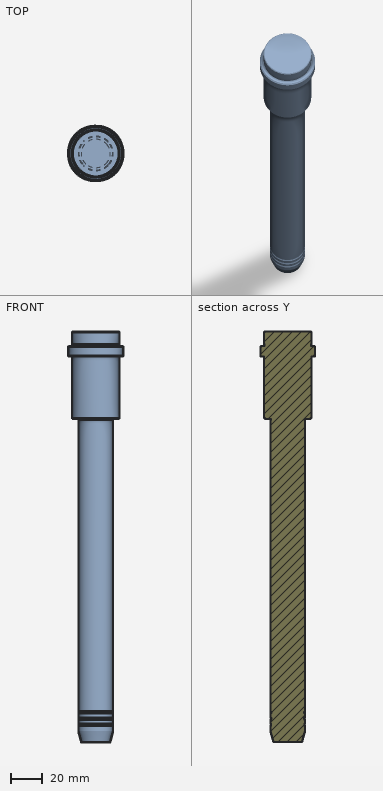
import cadquery as cq

length = 260.0
head_height = 9.0
flange_height = 6.8
sleeve_height = 39.5
flange_top = length - head_height
flange_bottom = flange_top - flange_height
sleeve_bottom = flange_bottom - sleeve_height

flange_radius = 35.0 / 2
sleeve_radius = 15.0
shaft_radius = 22.0 / 2
tip_radius = 9.0

edge_chamfer = 0.8
fine_chamfer = 0.5
neck_depth = 0.3
neck_height = 1.0
shaft_neck_height = 0.5

tip_height = 7.0
groove_count = 3
groove_pitch = 4.0
groove_height = 1.5
groove_depth = 0.5
lowest_groove = 11.2


def cylinder(radius, bottom, top):
    return cq.Workplane("XY").workplane(offset=bottom).circle(radius).extrude(top - bottom)


def ring_groove(radius, depth, bottom, height):
    """Ring that cuts a square groove into a cylinder of the given radius."""
    outer = cylinder(radius + depth, bottom, bottom + height)
    return outer.cut(cylinder(radius - depth, bottom, bottom + height))


def v_groove(radius, depth, middle, height):
    """Ring that cuts a V-shaped groove centred on the given height."""
    return (
        cq.Workplane("XZ")
        .polyline([
            (radius, middle - height / 2),
            (radius - depth, middle),
            (radius, middle + height / 2),
        ])
        .close()
        .revolve(360, (0, 0, 0), (0, 1, 0))
    )


shaft = (
    cq.Workplane("XZ")
    .polyline([
        (0, 0),
        (tip_radius, 0),
        (shaft_radius, tip_height),
        (shaft_radius, sleeve_bottom),
        (0, sleeve_bottom),
    ])
    .close()
    .revolve(360, (0, 0, 0), (0, 1, 0))
)

sleeve = (
    cylinder(sleeve_radius, sleeve_bottom, length)
    .faces("<Z")
    .chamfer(edge_chamfer)
    .faces(">Z")
    .chamfer(fine_chamfer)
)
flange = cylinder(flange_radius, flange_bottom, flange_top)
flange = flange.faces(">Z").chamfer(edge_chamfer)
flange = flange.faces("<Z").chamfer(fine_chamfer)
result = shaft.union(sleeve).union(flange)

result = result.cut(ring_groove(sleeve_radius, neck_depth, flange_top, neck_height))
shaft_neck_bottom = sleeve_bottom - shaft_neck_height
result = result.cut(ring_groove(shaft_radius, neck_depth, shaft_neck_bottom, shaft_neck_height))

for index in range(groove_count):
    groove_middle = lowest_groove + index * groove_pitch
    result = result.cut(v_groove(shaft_radius, groove_depth, groove_middle, groove_height))